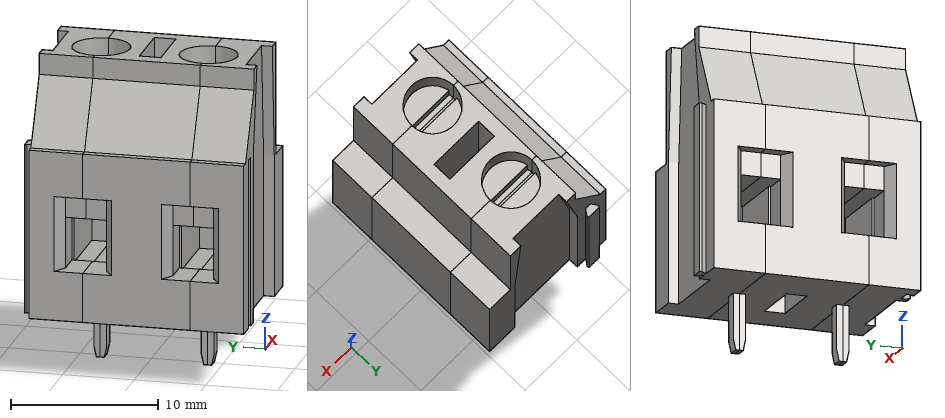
import cadquery as cq


HOUSING_LENGTH = 11.2
HOUSING_HEIGHT = 18.0
OVERALL_HEIGHT = 22.0
LEDGE_HEIGHT = 12.0
SLOPE_FOOT_X = 0.53
SLOPE_TOP_X = 2.9
SLOPE_TOP_Z = 16.5
REAR_STEP_X = 9.2
REAR_STEP_HEIGHT = 10.0

PITCH = 7.5
POLE_COUNT = 2
ROW_WIDTH = POLE_COUNT * PITCH
POLE_CENTRES = [(i + 0.5) * PITCH for i in range(POLE_COUNT)]

RECESS_DEPTH = 0.75
RECESS_FRONT_X = 2.75
RECESS_REAR_X = 8.75
RECESS_TOP_FRONT_X = 3.78
RECESS_TOP_REAR_X = 8.18

SLOT_FRONT_X = 3.94
SLOT_REAR_X = 8.23
SLOT_WIDTH = 2 * RECESS_DEPTH

DOVETAIL_X = 1.72
GROOVE_NECK = 0.6
RIB_NECK = 0.46
DOVETAIL_HEAD = 1.08
DOVETAIL_TIP = 1.01
DOVETAIL_DEPTH = 0.6
DOVETAIL_LIP = 0.15

SCREW_X = 5.35
SCREW_DIAMETER = 4.0
SCREW_HEAD_DEPTH = 2.0
DRIVER_SLOT_WIDTH = 0.75
DRIVER_SLOT_DEPTH = 1.0

ENTRY_FLOOR = 3.5
MOUTH_TOP = 8.82
MOUTH_WIDTH = 4.0
MOUTH_DEPTH = 0.92
CHANNEL_WIDTH = 2.85
CHANNEL_TOP = 7.1
CHANNEL_END_X = 2.82
CAVITY_WIDTH = 2.55
CAVITY_FLOOR_DROP = 0.15
CAVITY_END_X = 2 * SCREW_X - CHANNEL_END_X

PIN_X = 5.48
PIN_SIZE = 0.9
PIN_LENGTH = OVERALL_HEIGHT - HOUSING_HEIGHT
PIN_TIP_LENGTH = 0.8
PIN_TIP_WIDTH = 0.55


def box_between(x, y, z):
    """Box that spans the given (low, high) pairs along X, Y and Z."""
    size = (x[1] - x[0], y[1] - y[0], z[1] - z[0])
    return cq.Workplane("XY").box(*size, centered=False).translate((x[0], y[0], z[0]))


def centred_span(centre, width):
    return (centre - width / 2, centre + width / 2)


def housing_blank():
    profile = [
        (0, 0),
        (HOUSING_LENGTH, 0),
        (HOUSING_LENGTH, REAR_STEP_HEIGHT),
        (REAR_STEP_X, REAR_STEP_HEIGHT),
        (REAR_STEP_X, HOUSING_HEIGHT),
        (SLOPE_TOP_X, HOUSING_HEIGHT),
        (SLOPE_TOP_X, SLOPE_TOP_Z),
        (SLOPE_FOOT_X, LEDGE_HEIGHT),
        (0, LEDGE_HEIGHT),
    ]
    return cq.Workplane("XZ").polyline(profile).close().extrude(-ROW_WIDTH)


def end_recess(start_y):
    outline = [
        (RECESS_FRONT_X, 0),
        (RECESS_REAR_X, 0),
        (RECESS_REAR_X, REAR_STEP_HEIGHT),
        (RECESS_TOP_REAR_X, HOUSING_HEIGHT),
        (RECESS_TOP_FRONT_X, HOUSING_HEIGHT),
        (RECESS_FRONT_X, LEDGE_HEIGHT),
    ]
    recess = cq.Workplane("XZ").polyline(outline).close().extrude(-RECESS_DEPTH)
    return recess.translate((0, start_y, 0))


def dovetail(base_y, neck_width):
    """Dovetail bar that widens in +Y from its neck at base_y, up to a lip that tapers in slightly."""
    neck = neck_width / 2
    head = DOVETAIL_HEAD / 2
    tip = DOVETAIL_TIP / 2
    lip_start = DOVETAIL_DEPTH - DOVETAIL_LIP
    outline = [
        (-neck, 0),
        (neck, 0),
        (head, lip_start),
        (tip, DOVETAIL_DEPTH),
        (-tip, DOVETAIL_DEPTH),
        (-head, lip_start),
    ]
    bar = cq.Workplane("XY").polyline(outline).close().extrude(LEDGE_HEIGHT)
    return bar.translate((DOVETAIL_X, base_y, 0))


def wire_entry(pole_y):
    mouth_outline = [
        (0, pole_y - MOUTH_WIDTH / 2),
        (MOUTH_DEPTH, pole_y - CHANNEL_WIDTH / 2),
        (MOUTH_DEPTH, pole_y + CHANNEL_WIDTH / 2),
        (0, pole_y + MOUTH_WIDTH / 2),
    ]
    mouth = (
        cq.Workplane("XY", origin=(0, 0, ENTRY_FLOOR))
        .polyline(mouth_outline)
        .close()
        .extrude(MOUTH_TOP - ENTRY_FLOOR)
    )
    channel_z = (ENTRY_FLOOR, CHANNEL_TOP)
    channel = box_between((MOUTH_DEPTH, CHANNEL_END_X), centred_span(pole_y, CHANNEL_WIDTH), channel_z)
    cavity_z = (ENTRY_FLOOR - CAVITY_FLOOR_DROP, CHANNEL_TOP)
    cavity = box_between((CHANNEL_END_X, CAVITY_END_X), centred_span(pole_y, CAVITY_WIDTH), cavity_z)
    return mouth.union(channel).union(cavity)


def screw_access(pole_y):
    """Round hole down to the screw head, with the driver slot below it."""
    head_z = HOUSING_HEIGHT - SCREW_HEAD_DEPTH
    hole = (
        cq.Workplane("XY", origin=(SCREW_X, pole_y, head_z))
        .circle(SCREW_DIAMETER / 2)
        .extrude(SCREW_HEAD_DEPTH)
    )
    slot_bar = box_between(
        centred_span(SCREW_X, SCREW_DIAMETER),
        centred_span(pole_y, DRIVER_SLOT_WIDTH),
        (head_z - DRIVER_SLOT_DEPTH, head_z),
    )
    head = hole.translate((0, 0, -SCREW_HEAD_DEPTH))
    return hole.union(head.intersect(slot_bar))


def solder_pin(pole_y):
    half = PIN_SIZE / 2
    half_tip = PIN_TIP_WIDTH / 2
    taper_z = PIN_TIP_LENGTH - PIN_LENGTH
    outline = [
        (pole_y - half, 0),
        (pole_y - half, taper_z),
        (pole_y - half_tip, -PIN_LENGTH),
        (pole_y + half_tip, -PIN_LENGTH),
        (pole_y + half, taper_z),
        (pole_y + half, 0),
    ]
    pin = cq.Workplane("YZ").polyline(outline).close().extrude(PIN_SIZE)
    return pin.translate((PIN_X - half, 0, 0))


def whole_block():
    block = housing_blank()
    block = block.cut(end_recess(0)).cut(end_recess(ROW_WIDTH - RECESS_DEPTH))
    block = block.cut(dovetail(0, GROOVE_NECK)).union(dovetail(ROW_WIDTH, RIB_NECK))
    for gap in range(1, POLE_COUNT):
        slot_y = centred_span(gap * PITCH, SLOT_WIDTH)
        block = block.cut(box_between((SLOT_FRONT_X, SLOT_REAR_X), slot_y, (0, HOUSING_HEIGHT)))
    for pole_y in POLE_CENTRES:
        block = block.cut(wire_entry(pole_y)).cut(screw_access(pole_y))
        block = block.union(solder_pin(pole_y))
    return block


def piece_between(block, start_y, end_y):
    """Part of the block between two planes across the row of poles."""
    slab = box_between((0, HOUSING_LENGTH), (start_y, end_y), (-PIN_LENGTH, HOUSING_HEIGHT))
    return block.intersect(slab, clean=False)


block = whole_block()
first_pole, last_pole = POLE_CENTRES

front_end = piece_between(block, 0, first_pole)

middle = piece_between(block, first_pole, last_pole)

back_end = piece_between(block, last_pole, ROW_WIDTH + DOVETAIL_DEPTH)

result = cq.Compound.makeCompound([front_end.val(), middle.val(), back_end.val()])